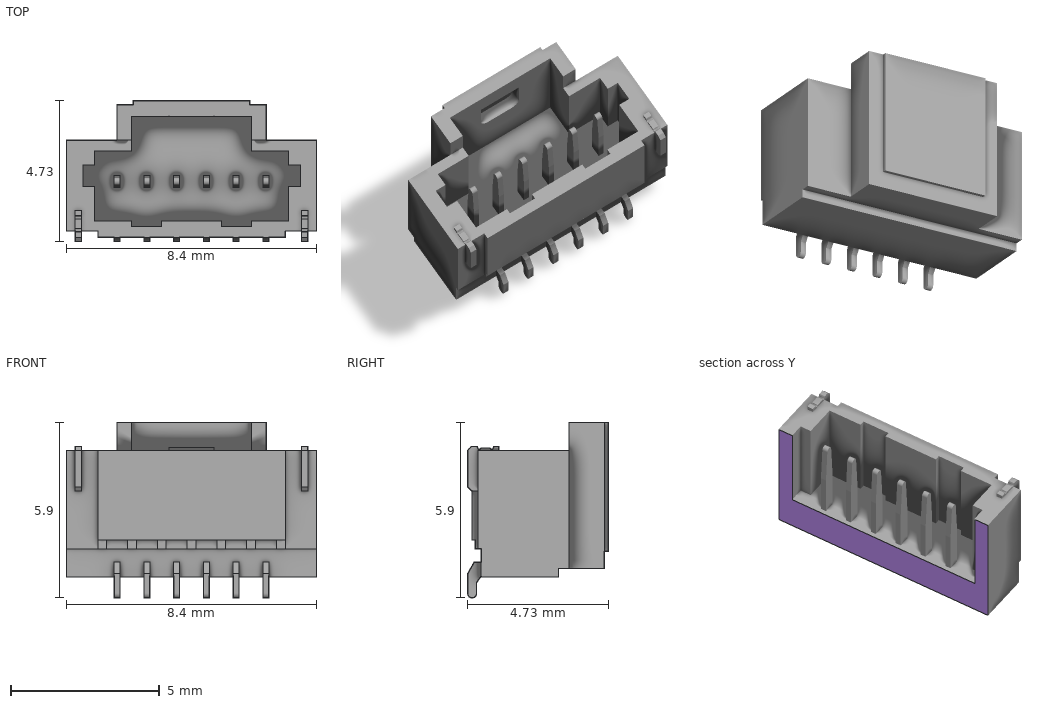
import cadquery as cq


WIDTH = 8.4
BLOCK_BACK_Y = 3.05
BLOCK_TOP_Z = 4.26
FRONT_UNDERCUT_Y = 0.1
FRONT_UNDERCUT_Z = 0.95
REAR_STEP_Y = 2.705
REAR_STEP_Z = 0.285

TOWER_WIDTH = 5.02
TOWER_BACK_Y = 4.24
TOWER_TOP_Z = 5.2
PLATE_WIDTH = 3.92
PLATE_BACK_Y = 4.38
PLATE_BOTTOM_Z = 0.865

PANEL_WIDTH = 6.29
PANEL_FRONT_Y = -0.21
PANEL_BOTTOM_Z = 1.24
RIB_WIDTH = 0.29
RIB_FRONT_Y = -0.1

FLOOR_Z = 1.24
CAVITY_WIDTH = 6.5
CAVITY_FRONT_Y = 0.34
CAVITY_BACK_Y = 2.69
TOWER_CAVITY_WIDTH = 4.02
TOWER_CAVITY_BACK_Y = 3.85
SIDE_NOTCH_WIDTH = 7.3
SIDE_NOTCH_FRONT_Y = 1.5
SIDE_NOTCH_BACK_Y = 2.21
KEYWAY_FRONT_Y = 0.15
KEYWAY_INNER_X = 1.01

WINDOW_WIDTH = 1.51
WINDOW_BOTTOM_Z = 3.05
WINDOW_TOP_Z = 4.35
WINDOW_CORNER_RADIUS = 0.3

PIN_COUNT = 6
PIN_PITCH = 1.0
PIN_WIDTH = 0.2
PIN_CENTER_Y = 1.66
PIN_BASE_DEPTH = 0.4
PIN_TIP_DEPTH = 0.235
PIN_TAPER_Z = 2.69
PIN_TIP_Z = 4.05

LEG_FRONT_Y = -0.35
LEG_THICKNESS = 0.3
LEG_TOP_Z = 0.5
LEG_KNEE_TOP_Y = -0.135
LEG_KNEE_TOP_Z = 0.12
LEG_KNEE_BOTTOM_Z = -0.185
LEG_ROOT_BOTTOM_Z = 0.03
LEG_END_Z = -0.7

NAIL_X = 3.8
NAIL_WIDTH = 0.22
NAIL_FRONT_Y = -0.35
NAIL_BACK_Y = 0.7
NAIL_BOTTOM_Z = 2.89
NAIL_TOP_Z = 4.39
NAIL_CHAMFER = 0.135
NAIL_BRIDGE_Z = 4.34
NAIL_BRIDGE_FRONT_Y = 0.09
NAIL_BRIDGE_BACK_Y = 0.4
NAIL_GROOVE_WIDTH = 0.1
NAIL_GROOVE_DEPTH = 0.05
NAIL_GROOVE_SLOPE = 0.025


def box(width, y_range, z_range, x_center=0.0):
    """Box of the given X width between two Y and two Z levels."""
    depth = y_range[1] - y_range[0]
    height = z_range[1] - z_range[0]
    block = cq.Workplane("XY").box(width, depth, height, centered=(True, False, False))
    return block.translate((x_center, y_range[0], z_range[0]))


def extrude_profile(profile, width, x_center):
    """Extrude a closed YZ profile symmetrically about x_center."""
    return profile.extrude(width / 2, both=True).translate((x_center, 0, 0))


def make_shell():
    """Block, tower, back plate and front panel, before hollowing."""
    block = box(WIDTH, (0, BLOCK_BACK_Y), (0, BLOCK_TOP_Z))
    tower = box(TOWER_WIDTH, (REAR_STEP_Y, TOWER_BACK_Y), (0, TOWER_TOP_Z))
    tower = tower.cut(box(TOWER_WIDTH, (0, BLOCK_BACK_Y), (BLOCK_TOP_Z, TOWER_TOP_Z)))
    plate = box(PLATE_WIDTH, (TOWER_BACK_Y, PLATE_BACK_Y), (PLATE_BOTTOM_Z, TOWER_TOP_Z))
    panel = box(PANEL_WIDTH, (PANEL_FRONT_Y, 0), (PANEL_BOTTOM_Z, BLOCK_TOP_Z))
    front_undercut = box(WIDTH, (0, FRONT_UNDERCUT_Y), (0, FRONT_UNDERCUT_Z))
    rear_step = box(WIDTH, (REAR_STEP_Y, TOWER_BACK_Y), (0, REAR_STEP_Z))
    shell = block.union(tower).union(plate).union(panel)
    return shell.cut(front_undercut).cut(rear_step)


def make_ribs():
    """Ribs below the front panel, one on each side of every terminal."""
    ribs = cq.Workplane("XY")
    for i in range(PIN_COUNT + 1):
        x = (i - PIN_COUNT / 2) * PIN_PITCH
        ribs = ribs.union(box(RIB_WIDTH, (RIB_FRONT_Y, 0), (FRONT_UNDERCUT_Z, PANEL_BOTTOM_Z), x))
    return ribs


def make_cavity():
    """Mating cavity with side notches, front keyways and the tower recess."""
    heights = (FLOOR_Z, TOWER_TOP_Z)
    cavity = box(CAVITY_WIDTH, (CAVITY_FRONT_Y, CAVITY_BACK_Y), heights)
    cavity = cavity.union(box(SIDE_NOTCH_WIDTH, (SIDE_NOTCH_FRONT_Y, SIDE_NOTCH_BACK_Y), heights))
    cavity = cavity.union(box(TOWER_CAVITY_WIDTH, (CAVITY_FRONT_Y, TOWER_CAVITY_BACK_Y), heights))
    keyway_outer_x = TOWER_CAVITY_WIDTH / 2
    keyway_width = keyway_outer_x - KEYWAY_INNER_X
    keyway_x = (keyway_outer_x + KEYWAY_INNER_X) / 2
    for side in (-1, 1):
        keyway = box(keyway_width, (KEYWAY_FRONT_Y, CAVITY_FRONT_Y), heights, side * keyway_x)
        cavity = cavity.union(keyway)
    return cavity


def make_window():
    """Window through the tower wall, closed by the back plate, with round lower corners."""
    window = box(WINDOW_WIDTH, (TOWER_CAVITY_BACK_Y, TOWER_BACK_Y), (WINDOW_BOTTOM_Z, WINDOW_TOP_Z))
    return window.faces("<Z").edges("|Y").fillet(WINDOW_CORNER_RADIUS)


def make_pin(x):
    """Upright contact blade, tapered near the top, with a round tip."""
    base = PIN_BASE_DEPTH / 2
    tip = PIN_TIP_DEPTH / 2
    profile = (
        cq.Workplane("YZ")
        .moveTo(PIN_CENTER_Y - base, FLOOR_Z)
        .lineTo(PIN_CENTER_Y - base, PIN_TAPER_Z)
        .lineTo(PIN_CENTER_Y - tip, PIN_TIP_Z - tip)
        .threePointArc((PIN_CENTER_Y, PIN_TIP_Z), (PIN_CENTER_Y + tip, PIN_TIP_Z - tip))
        .lineTo(PIN_CENTER_Y + base, PIN_TAPER_Z)
        .lineTo(PIN_CENTER_Y + base, FLOOR_Z)
        .close()
    )
    return extrude_profile(profile, PIN_WIDTH, x)


def make_leg(x):
    """Cranked solder leg on the block's lower front face, with a round end."""
    end_radius = LEG_THICKNESS / 2
    back_y = LEG_FRONT_Y + LEG_THICKNESS
    profile = (
        cq.Workplane("YZ")
        .moveTo(FRONT_UNDERCUT_Y, LEG_TOP_Z)
        .lineTo(LEG_KNEE_TOP_Y, LEG_TOP_Z)
        .lineTo(LEG_FRONT_Y, LEG_KNEE_TOP_Z)
        .lineTo(LEG_FRONT_Y, LEG_END_Z + end_radius)
        .threePointArc((LEG_FRONT_Y + end_radius, LEG_END_Z), (back_y, LEG_END_Z + end_radius))
        .lineTo(back_y, LEG_KNEE_BOTTOM_Z)
        .lineTo(FRONT_UNDERCUT_Y, LEG_ROOT_BOTTOM_Z)
        .close()
    )
    return extrude_profile(profile, PIN_WIDTH, x)


def make_housing():
    """Housing with its row of terminals moulded in as one solid."""
    housing = make_shell().union(make_ribs()).cut(make_cavity()).cut(make_window())
    for i in range(PIN_COUNT):
        x = (i - (PIN_COUNT - 1) / 2) * PIN_PITCH
        housing = housing.union(make_pin(x)).union(make_leg(x))
    return housing


def make_nail(x):
    """Bent nail over the block's top front edge, with two round grooves across its top."""
    groove_z = NAIL_BRIDGE_Z - NAIL_GROOVE_DEPTH
    front_groove_y = NAIL_BRIDGE_FRONT_Y - NAIL_GROOVE_WIDTH
    back_groove_y = NAIL_BRIDGE_BACK_Y + NAIL_GROOVE_WIDTH
    front_groove_bottom = (NAIL_BRIDGE_FRONT_Y - NAIL_GROOVE_WIDTH / 2, groove_z)
    back_groove_bottom = (NAIL_BRIDGE_BACK_Y + NAIL_GROOVE_WIDTH / 2, groove_z)
    profile = (
        cq.Workplane("YZ")
        .moveTo(0, NAIL_BOTTOM_Z)
        .lineTo(NAIL_FRONT_Y + NAIL_CHAMFER, NAIL_BOTTOM_Z)
        .lineTo(NAIL_FRONT_Y, NAIL_BOTTOM_Z + NAIL_CHAMFER)
        .lineTo(NAIL_FRONT_Y, NAIL_TOP_Z - NAIL_CHAMFER)
        .lineTo(NAIL_FRONT_Y + NAIL_CHAMFER, NAIL_TOP_Z)
        .lineTo(front_groove_y - NAIL_GROOVE_SLOPE, NAIL_TOP_Z)
        .lineTo(front_groove_y, NAIL_BRIDGE_Z)
        .threePointArc(front_groove_bottom, (NAIL_BRIDGE_FRONT_Y, NAIL_BRIDGE_Z))
        .lineTo(NAIL_BRIDGE_BACK_Y, NAIL_BRIDGE_Z)
        .threePointArc(back_groove_bottom, (back_groove_y, NAIL_BRIDGE_Z))
        .lineTo(back_groove_y + NAIL_GROOVE_SLOPE, NAIL_TOP_Z)
        .lineTo(NAIL_BACK_Y, NAIL_TOP_Z)
        .lineTo(NAIL_BACK_Y, BLOCK_TOP_Z)
        .lineTo(0, BLOCK_TOP_Z)
        .close()
    )
    return extrude_profile(profile, NAIL_WIDTH, x)


housing = make_housing()
nails = [make_nail(side * NAIL_X) for side in (-1, 1)]

result = cq.Compound.makeCompound([housing.val(), *[nail.val() for nail in nails]])